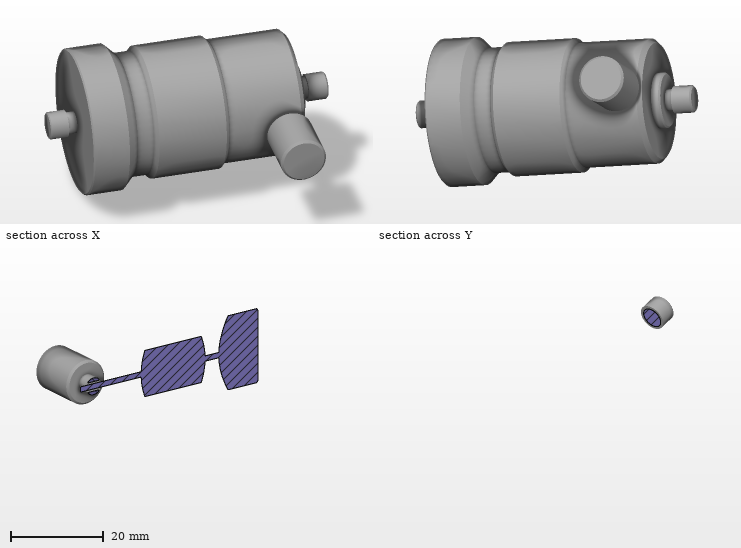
import cadquery as cq

base_radius = 16.0
body_radius = 13.5
band_radius = 14.5
flange_radius = 6.0
tip_radius = 3.0
tip_neck_radius = 2.35

base_rim_end = 8.0
band_start = 15.0
band_end = 30.0
body_end = 48.0
flange_thickness = 2.0
flange_end = body_end + flange_thickness
rear_neck_length = 1.55
rear_tip_start = flange_end + rear_neck_length
rear_tip_end = 56.0
front_tip_start = -2.0
front_tip_end = -6.0

base_bevel = base_radius - body_radius
band_bevel = band_radius - body_radius
body_bevel = band_bevel
base_edge_chamfer = 0.3
small_chamfer = 0.4
front_tip_chamfer = 0.25

knob_y = 43.5
knob_radius = 5.0
knob_start = base_radius
knob_length = 12.0
knob_chamfer = 0.5
stem_radius = 2.0


def make_housing():
    """Stepped round housing with a grooved tip at each end."""
    half_profile = [
        (0, front_tip_end),
        (tip_radius - front_tip_chamfer, front_tip_end),
        (tip_radius, front_tip_end + front_tip_chamfer),
        (tip_radius, front_tip_start),
        (tip_neck_radius, front_tip_start),
        (tip_neck_radius, 0),
        (base_radius - base_edge_chamfer, 0),
        (base_radius, base_edge_chamfer),
        (base_radius, base_rim_end),
        (body_radius, base_rim_end + base_bevel),
        (body_radius, band_start - band_bevel),
        (band_radius, band_start),
        (band_radius, band_end),
        (body_radius, band_end + band_bevel),
        (body_radius, body_end - body_bevel),
        (body_radius - body_bevel, body_end),
        (flange_radius, body_end),
        (flange_radius, flange_end - small_chamfer),
        (flange_radius - small_chamfer, flange_end),
        (tip_neck_radius, flange_end),
        (tip_neck_radius, rear_tip_start),
        (tip_radius, rear_tip_start),
        (tip_radius, rear_tip_end - small_chamfer),
        (tip_radius - small_chamfer, rear_tip_end),
        (0, rear_tip_end),
    ]
    return cq.Workplane("XY").polyline(half_profile).close().revolve(360, (0, 0), (0, 1))


def make_knob(housing):
    """Round knob whose stem end is shaped to seat on the housing wall."""
    grip = (
        cq.Workplane("YZ", origin=(knob_start, knob_y, 0))
        .circle(knob_radius)
        .extrude(knob_length)
        .edges()
        .chamfer(knob_chamfer)
    )
    stem_start = body_radius - stem_radius
    stem = (
        cq.Workplane("YZ", origin=(stem_start, knob_y, 0))
        .circle(stem_radius)
        .extrude(knob_start - stem_start)
    )
    return grip.union(stem).cut(housing)


housing = make_housing()
knob = make_knob(housing)

result = cq.Compound.makeCompound([housing.val(), *knob.vals()])